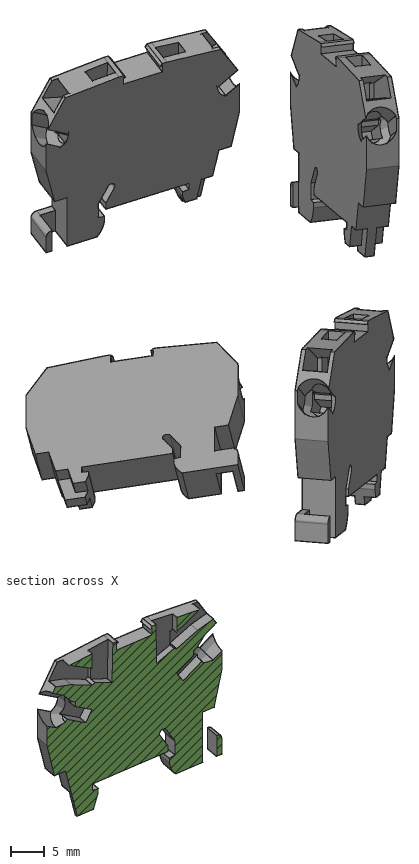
import math

import cadquery as cq

thickness = 5.15
length = 32.0
height = 29.3
half_length = length / 2

crown_half = 3.95
shoulder_y = 12.83
shoulder_z = 28.55
chamfer_bottom_z = 23.0
taper_top_z = 15.6
taper_bottom_y = 14.6
housing_bottom_z = 9.3
rail_top_z = 4.77

notch_half = 3.2
notch_floor_z = 27.7
lip_half = 2.85
lip_bottom_z = 28.85

hook_tip_z = 3.5
hook_root_z = 3.65
hook_lower_z = 2.7

fixed_root_y = 12.58
fixed_bottom_outer_y = 10.43
fixed_bottom_inner_y = 7.42
fixed_tip_y = 6.55
fixed_hook_y = 7.6
tongue_thickness = 1.47
step_z = 1.35
step_top_y = 9.65
step_bottom_y = 8.9

spring_wall_y = -12.5
spring_inner_y = -7.35
spring_tip_y = -6.35
spring_curve_mid = (-6.7, 1.35)
spring_bottom_y = -7.6
ledge_z = 3.95
ledge_radius = 1.0
ledge_side = 1.15

slot_width = 1.2
slot_tip = (-5.25, 8.7)
slot_bend_z = 6.08

bore_radius = 2.62
bore_tilt = 32.0
bore_x = 2.8
bore_face_z = 22.3
bore_wall = 0.4
bore_lead = 6.4
roof_start = 2.0
cone_start = 3.6
passage_start = 4.1
passage_step = 4.93
passage_end = 8.95
passage_width = 2.98
passage_roof_rise = 1.92
passage_floor_depth = 0.95
passage_step_drop = 0.83

window_x = (0.67, 4.5)
window_rim_y = 14.4
window_rim_z = 25.75
window_top_y = 11.95
window_roof_tilt = 30.0
window_floor_break = (11.52, 24.93)
well_outer_y = 7.7
well_inner_y = 3.97
well_inner_bottom_y = 4.13
well_x = 2.62
well_outer_width = 2.4
well_inner_width = 2.62
well_outer_floor_z = 23.17
ridge = (7.23, 23.45)
well_inner_floor_z = 22.08
clearance = 3.2


def plate(points, x_start, x_end):
    """Prism along X from an outline of (Y, Z) points."""
    sketch = cq.Workplane("YZ", origin=(x_start, 0, 0)).polyline(points).close()
    return sketch.extrude(x_end - x_start)


def at_both_ends(shape):
    """The -Y shape together with its mirror image at +Y."""
    return shape.union(shape.mirror("XZ"))


def housing():
    half = [
        (lip_half, lip_bottom_z),
        (notch_half, height),
        (crown_half, height),
        (shoulder_y, shoulder_z),
        (half_length, chamfer_bottom_z),
        (half_length, taper_top_z),
        (taper_bottom_y, housing_bottom_z),
    ]
    notch_corner = [(notch_half, notch_floor_z), (notch_half, lip_bottom_z)]
    right = notch_corner + half
    left = [(-y, z) for y, z in reversed(right)]
    return plate(right + left, 0, thickness)


def lower_body():
    """Rail seat with the fixed foot and the spring foot."""
    outline = (
        cq.Workplane("YZ")
        .moveTo(fixed_root_y, housing_bottom_z)
        .lineTo(fixed_bottom_outer_y, 0)
        .lineTo(fixed_bottom_inner_y, 0)
        .lineTo(fixed_tip_y, hook_lower_z)
        .lineTo(fixed_tip_y, hook_tip_z)
        .lineTo(fixed_hook_y, hook_root_z)
        .lineTo(fixed_hook_y, rail_top_z)
        .lineTo(spring_inner_y, rail_top_z)
        .lineTo(spring_inner_y, hook_root_z)
        .lineTo(spring_tip_y, hook_tip_z)
        .lineTo(spring_tip_y, hook_lower_z)
        .threePointArc(spring_curve_mid, (spring_bottom_y, 0))
        .lineTo(-half_length, 0)
        .lineTo(-half_length, ledge_z - ledge_radius)
        .radiusArc((-half_length + ledge_radius, ledge_z), ledge_radius)
        .lineTo(spring_wall_y, ledge_z)
        .lineTo(spring_wall_y, housing_bottom_z)
        .close()
    )
    return outline.extrude(thickness)


def spring_slot():
    tip_y, tip_z = slot_tip
    bend_y = spring_inner_y + slot_width / 2
    run_y = bend_y - tip_y
    run_z = slot_bend_z - tip_z
    run = math.hypot(run_y, run_z)
    side_y = -run_z / run * slot_width / 2
    side_z = run_y / run * slot_width / 2
    inner_y = bend_y + slot_width / 2
    outer_y = bend_y - slot_width / 2
    inner_z = tip_z + side_z + (inner_y - tip_y - side_y) * run_z / run_y
    outer_z = tip_z - side_z + (outer_y - tip_y + side_y) * run_z / run_y
    round_end = (tip_y - run_y / run * slot_width / 2, tip_z - run_z / run * slot_width / 2)
    return (
        cq.Workplane("YZ")
        .moveTo(inner_y, rail_top_z)
        .lineTo(inner_y, inner_z)
        .lineTo(tip_y + side_y, tip_z + side_z)
        .threePointArc(round_end, (tip_y - side_y, tip_z - side_z))
        .lineTo(outer_y, outer_z)
        .lineTo(outer_y, rail_top_z)
        .close()
        .extrude(thickness)
    )


def foot_recesses():
    """Side steps that leave a thin tongue on the fixed foot."""
    corners = [
        (fixed_root_y, rail_top_z),
        (step_top_y, rail_top_z),
        (step_bottom_y, step_z),
        (fixed_tip_y, step_z),
        (fixed_tip_y, 0),
        (fixed_root_y, 0),
    ]
    depth = (thickness - tongue_thickness) / 2
    return plate(corners, 0, depth).union(plate(corners, thickness - depth, thickness))


def ledge_opening():
    """Opening behind the rounded bar of the spring foot, open at +X."""
    bar_y = -half_length + ledge_radius
    corners = [(bar_y, 0), (spring_wall_y, 0), (spring_wall_y, ledge_z), (bar_y, ledge_z)]
    return plate(corners, ledge_side, thickness)


def wire_entry():
    """Sloping bore, cone and stepped rectangular passage at the -Y end."""
    tilt = math.radians(bore_tilt)
    axis = cq.Vector(0, math.cos(tilt), -math.sin(tilt))
    face_point = cq.Vector(bore_x, -half_length, bore_face_z)

    def section(distance):
        origin = face_point + axis * distance
        return cq.Workplane(cq.Plane(origin, xDir=(1, 0, 0), normal=axis))

    bore = section(-bore_lead).circle(bore_radius).extrude(bore_lead + cone_start)
    cone = (
        section(cone_start)
        .circle(bore_radius)
        .workplane(offset=passage_step - cone_start)
        .circle(passage_width / 2)
        .loft()
    )
    inner_roof = passage_roof_rise - passage_step_drop * math.cos(tilt)
    passage_outline = [
        (passage_start, -passage_floor_depth),
        (passage_start, passage_roof_rise),
        (passage_step, passage_roof_rise),
        (passage_step + passage_step_drop * math.sin(tilt), inner_roof),
        (passage_end, inner_roof),
        (passage_end, -passage_floor_depth),
    ]
    side_plane = cq.Plane(face_point, xDir=axis, normal=(1, 0, 0))
    passage = cq.Workplane(side_plane).polyline(passage_outline).close()
    passage = passage.extrude(passage_width / 2, both=True)

    roof_outline = [
        (roof_start, bore_radius),
        (passage_start, passage_roof_rise),
        (passage_step, passage_roof_rise),
        (passage_step, bore_radius),
    ]
    above_roof = cq.Workplane(side_plane).polyline(roof_outline).close()
    above_roof = above_roof.extrude(thickness, both=True)
    entry = bore.union(cone).cut(above_roof).union(passage)
    keep = cq.Workplane("XY").box(2 * thickness, length, 2 * height, centered=(False, True, True))
    return entry.intersect(keep.translate((bore_wall, -half_length / 2, 0)))


def driver_well():
    """Tapered well in the top with a ridged floor, at the -Y end."""
    floor = [
        (-well_outer_y, height + clearance),
        (-well_outer_y, well_outer_floor_z),
        (-ridge[0], ridge[1]),
        (-well_inner_bottom_y, well_inner_floor_z),
        (-well_inner_y, height),
        (-well_inner_y, height + clearance),
    ]
    opening = [
        (well_x - well_outer_width / 2, -well_outer_y),
        (well_x + well_outer_width / 2, -well_outer_y),
        (well_x + well_inner_width / 2, -well_inner_y),
        (well_x - well_inner_width / 2, -well_inner_y),
    ]
    shaft = cq.Workplane("XY").polyline(opening).close().extrude(height + clearance)
    return plate(floor, 0, thickness).intersect(shaft)


def shoulder_window():
    """Wide sloping window from the shoulder down into the driver well."""
    slope = (height - shoulder_z) / (shoulder_y - crown_half)
    roof_top_z = height - slope * (window_top_y - crown_half)
    roof_fall = math.tan(math.radians(window_roof_tilt))
    roof_end_z = roof_top_z - (window_top_y - ridge[0]) * roof_fall
    corners = [
        (-window_top_y, roof_top_z + clearance),
        (-window_top_y, roof_top_z),
        (-ridge[0], roof_end_z),
        (-ridge[0], ridge[1]),
        (-well_outer_y, well_outer_floor_z),
        (-window_floor_break[0], window_floor_break[1]),
        (-window_rim_y, window_rim_z),
        (-window_rim_y, roof_top_z + clearance),
    ]
    return plate(corners, *window_x)


body = housing().union(lower_body())
body = body.cut(spring_slot()).cut(foot_recesses()).cut(ledge_opening())
for cutter in (wire_entry(), driver_well(), shoulder_window()):
    body = body.cut(at_both_ends(cutter))

result = body